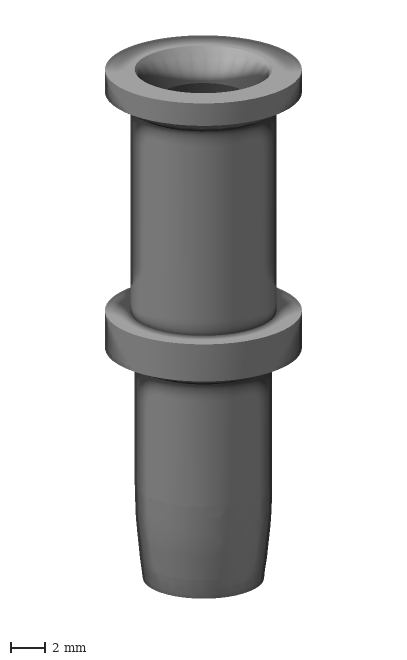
import cadquery as cq
import math

total_length = 31.6
flange_edge_depth = 1.4
flange_cone_depth = 2.28
collar_top_depth = 14.98
collar_edge_depth = 17.3
collar_cone_depth = 18.1
nose_start_depth = 25.72
tip_start_depth = 30.4

flange_radius = 5.75
barrel_radius = 4.27
shank_radius = 4.0
tip_start_radius = 3.7
tip_end_radius = 3.55

mouth_radius = 4.0
mouth_depth = 1.85
bore_radius = 2.75
bore_depth = collar_top_depth
drill_point_angle = 118
drill_point_depth = bore_radius / math.tan(math.radians(drill_point_angle / 2))

inspection_diameter = 0.85
inspection_depth = 14.0


def height(depth):
    """Z coordinate of a point a given depth below the top face."""
    return total_length - depth


def revolve_about_z(profile):
    """Turn a closed XZ half-profile into a solid of revolution."""
    return profile.revolve(360, (0, 0, 0), (0, 1, 0))


def make_body():
    """Flanged barrel, collar, shank and a rounded nose ending in a short cone."""
    profile = (
        cq.Workplane("XZ")
        .moveTo(0, total_length)
        .lineTo(flange_radius, total_length)
        .lineTo(flange_radius, height(flange_edge_depth))
        .lineTo(barrel_radius, height(flange_cone_depth))
        .lineTo(barrel_radius, height(collar_top_depth))
        .lineTo(flange_radius, height(collar_top_depth))
        .lineTo(flange_radius, height(collar_edge_depth))
        .lineTo(shank_radius, height(collar_cone_depth))
        .lineTo(shank_radius, height(nose_start_depth))
        .tangentArcPoint((tip_start_radius, height(tip_start_depth)), relative=False)
        .lineTo(tip_end_radius, 0)
        .lineTo(0, 0)
        .close()
    )
    return revolve_about_z(profile)


def make_socket():
    """Material removed from the top face down to the drill point."""
    profile = (
        cq.Workplane("XZ")
        .moveTo(0, total_length)
        .lineTo(mouth_radius, total_length)
        .lineTo(bore_radius, height(mouth_depth))
        .lineTo(bore_radius, height(bore_depth))
        .lineTo(0, height(bore_depth + drill_point_depth))
        .close()
    )
    return revolve_about_z(profile)


def make_inspection_hole():
    """Radial hole from the axis out through the -X side of the barrel."""
    return (
        cq.Workplane("YZ")
        .center(0, height(inspection_depth))
        .circle(inspection_diameter / 2)
        .extrude(-flange_radius)
    )


result = make_body().cut(make_socket()).cut(make_inspection_hole())